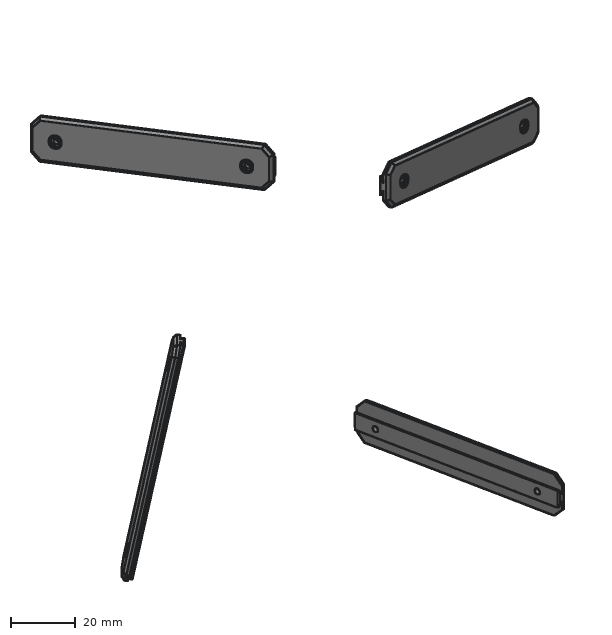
import cadquery as cq

LENGTH = 80.0
HEIGHT = 14.7
PLATE_THICKNESS = 2.0
FRONT_BEVEL = PLATE_THICKNESS / 2
CORNER_CUT = 3 * FRONT_BEVEL

RAIL_WIDTH = 6.0
FLANK_DEPTH = PLATE_THICKNESS / 2
LIP_THICKNESS = 0.5
END_BEVEL = LIP_THICKNESS
RAIL_DEPTH = FLANK_DEPTH + LIP_THICKNESS
TOTAL_DEPTH = PLATE_THICKNESS + RAIL_DEPTH

HOLE_SPACING = 63.2
HOLE_DIAMETER = 2.0
HEAD_DIAMETER = 3.6
HEAD_DEPTH = PLATE_THICKNESS / 2
RIM_BEVEL = 0.36


def make_plate():
    """Rectangular plate with clipped corners and a bevelled front outline."""
    block = cq.Workplane("XY").box(LENGTH, PLATE_THICKNESS, HEIGHT, centered=(True, False, True))
    clipped = block.edges("|Y").chamfer(CORNER_CUT)
    return clipped.faces("<Y").chamfer(FRONT_BEVEL)


def make_rail():
    """Dovetail bar, bevelled at both ends, with its sharp flank tips trimmed square into lips."""
    half_neck = RAIL_WIDTH / 2 - FLANK_DEPTH
    half_untrimmed = half_neck + RAIL_DEPTH
    profile = [
        (PLATE_THICKNESS, -half_neck),
        (TOTAL_DEPTH, -half_untrimmed),
        (TOTAL_DEPTH, half_untrimmed),
        (PLATE_THICKNESS, half_neck),
    ]
    wedge = cq.Workplane("YZ").polyline(profile).close().extrude(LENGTH / 2, both=True)
    bevelled = wedge.faces("<X or >X").edges("not <Y").chamfer(END_BEVEL)
    lip_limits = cq.Workplane("XY").box(LENGTH, TOTAL_DEPTH, RAIL_WIDTH, centered=(True, False, True))
    return bevelled.intersect(lip_limits)


def make_screw_cutter(x):
    """Through hole, flat-bottomed head recess and bevelled rim, revolved about the screw axis."""
    hole_radius = HOLE_DIAMETER / 2
    head_radius = HEAD_DIAMETER / 2
    half_section = [
        (0, 0),
        (head_radius + RIM_BEVEL, 0),
        (head_radius, RIM_BEVEL),
        (head_radius, HEAD_DEPTH),
        (hole_radius, HEAD_DEPTH),
        (hole_radius, TOTAL_DEPTH),
        (0, TOTAL_DEPTH),
    ]
    cutter = cq.Workplane("XY").polyline(half_section).close().revolve(360, (0, 0, 0), (0, 1, 0))
    return cutter.translate((x, 0, 0))


result = make_plate().union(make_rail())
for screw_x in (-HOLE_SPACING / 2, HOLE_SPACING / 2):
    result = result.cut(make_screw_cutter(screw_x))